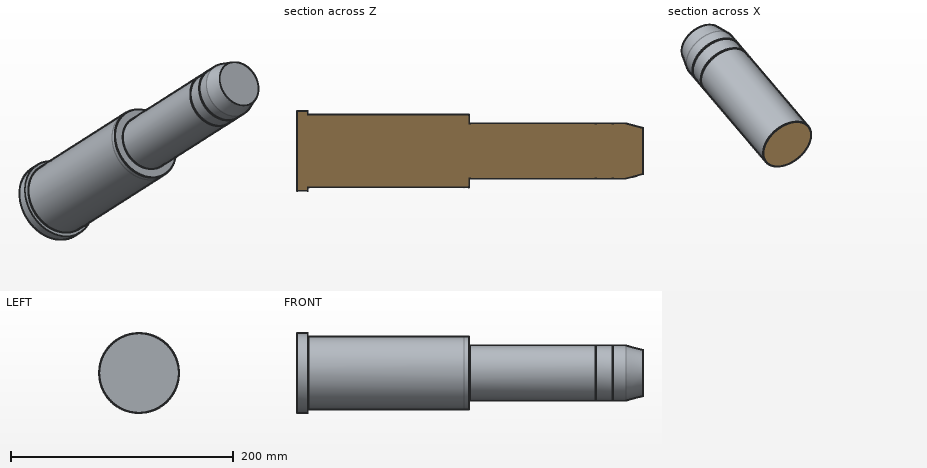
import cadquery as cq
import math

total_length = 311.0
edge_chamfer = 0.5

head_diameter = 72.0
head_length = 10.0

body_diameter = 66.0
body_end = 155.0
lead_in_length = 4.5
lead_in_drop = 0.12

shank_diameter = 50.0
tip_length = 16.0
tip_angle = 15.0

groove_depth = 0.3
groove_width = 1.0
shank_groove_starts = (268.0, 283.0)


def turned_blank():
    """Head, body with its lead-in, shank and conical tip as one revolved outline."""
    head_radius = head_diameter / 2
    body_radius = body_diameter / 2
    shank_radius = shank_diameter / 2
    tip_radius = shank_radius - tip_length * math.tan(math.radians(tip_angle))
    lead_in_end = body_end - edge_chamfer
    lead_in_radius = body_radius - lead_in_drop
    outline = [
        (0, 0),
        (0, head_radius - edge_chamfer),
        (edge_chamfer, head_radius),
        (head_length, head_radius),
        (head_length, body_radius),
        (lead_in_end - lead_in_length, body_radius),
        (lead_in_end, lead_in_radius),
        (body_end, lead_in_radius - edge_chamfer),
        (body_end, shank_radius),
        (total_length - tip_length, shank_radius),
        (total_length, tip_radius),
        (total_length, 0),
    ]
    return cq.Workplane("XY").polyline(outline).close().revolve(360, (0, 0, 0), (1, 0, 0))


def ring_groove(start, surface_diameter):
    """Ring to cut away, reaching groove_depth below a cylindrical surface."""
    floor_diameter = surface_diameter - 2 * groove_depth
    return (
        cq.Workplane("YZ", origin=(start, 0, 0))
        .circle(surface_diameter / 2)
        .circle(floor_diameter / 2)
        .extrude(groove_width)
    )


result = turned_blank()

result = result.cut(ring_groove(head_length, body_diameter))
result = result.cut(ring_groove(body_end, shank_diameter))

for groove_start in shank_groove_starts:
    result = result.cut(ring_groove(groove_start, shank_diameter))